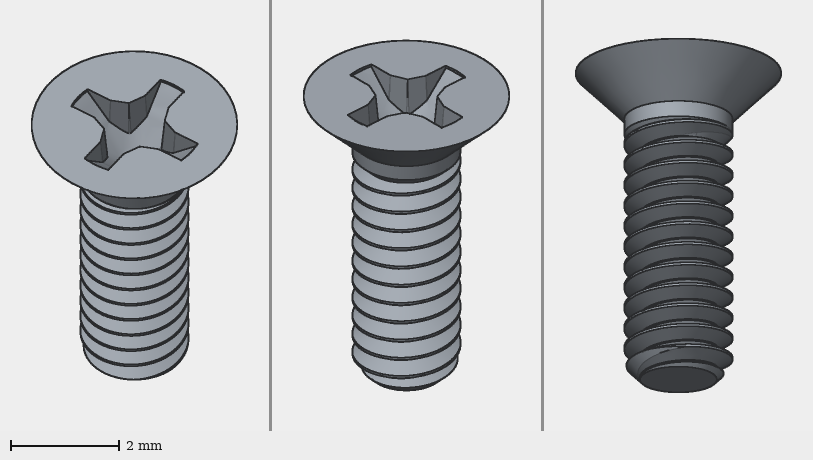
import cadquery as cq
import math

length = 6.0
head_radius = 3.8 / 2
shank_radius = length / 6
minor_radius = 0.72
tip_radius = 0.71
neck_height = 0.3
head_height = head_radius - shank_radius
neck_top = length - head_height
neck_bottom = neck_top - neck_height

pitch = 2 * shank_radius / 5
crest_width = pitch / 8
crest_height_at_x = 0.335
thread_depth = shank_radius - minor_radius
flank_slope = math.tan(math.radians(30))
cutter_overshoot = 0.02

recess_radius = 1.26
recess_lip = 0.05
recess_depth = 1.2
recess_taper = 5.0
arm_half_width = 0.265
arm_root = 0.725
inner_corner = 0.4


def make_threaded_shank():
    """Rod with a chamfered tip and a helical V groove."""
    rod = cq.Workplane("XZ").polyline([
        (0, 0),
        (tip_radius, 0),
        (shank_radius, shank_radius - tip_radius),
        (shank_radius, neck_bottom),
        (0, neck_bottom),
    ]).close().revolve(360, (0, 0), (0, 1))

    outer_radius = shank_radius + cutter_overshoot
    outer_half = (pitch - crest_width) / 2 + cutter_overshoot * flank_slope
    root_half = outer_half - (outer_radius - minor_radius) * flank_slope
    start = crest_height_at_x - 2.5 * pitch
    turns = math.ceil((neck_bottom - start) / pitch) + 1
    profile = [
        (minor_radius, start - root_half),
        (outer_radius, start - outer_half),
        (outer_radius, start + outer_half),
        (minor_radius, start + root_half),
    ]
    rails = []
    for radius, z in profile:
        rails.append(cq.Wire.makeHelix(pitch, turns * pitch, radius, cq.Vector(0, 0, z)))
    faces = []
    for i, rail in enumerate(rails):
        faces.extend(cq.Face.makeRuledSurface(rail, rails[i - 1]).Faces())
    for rise in (0, turns * pitch):
        corners = [cq.Vector(x, 0, z + rise) for x, z in profile]
        faces.append(cq.Face.makeFromWires(cq.Wire.makePolygon(corners, close=True)))
    groove = cq.Solid.makeSolid(cq.Shell.makeShell(faces))
    return rod.rotate((0, 0, 0), (0, 0, 1), 180).cut(groove)


def make_head():
    """Countersunk head, plain neck and the 45 degree runout into the thread."""
    return cq.Workplane("XZ").polyline([
        (0, neck_bottom - thread_depth),
        (minor_radius, neck_bottom - thread_depth),
        (shank_radius, neck_bottom),
        (shank_radius, neck_top),
        (head_radius, length),
        (0, length),
    ]).close().revolve(360, (0, 0), (0, 1))


def make_recess():
    """Tapered cross bounded by a cone that deepens toward the axis."""
    quarter = [
        (recess_radius, arm_half_width),
        (arm_root, arm_half_width),
        (inner_corner, inner_corner),
        (arm_half_width, arm_root),
        (arm_half_width, recess_radius),
    ]
    outline = []
    for x, y in quarter:
        outline.append((x, y))
    for x, y in reversed(quarter):
        outline.append((-x, y))
    for x, y in quarter:
        outline.append((-x, -y))
    for x, y in reversed(quarter):
        outline.append((x, -y))
    cross = (
        cq.Workplane("XY", origin=(0, 0, length))
        .polyline(outline).close()
        .extrude(-recess_depth, taper=recess_taper)
    )
    bound = cq.Workplane("XZ").polyline([
        (0, length - recess_depth),
        (recess_radius, length - recess_lip),
        (recess_radius, length),
        (0, length),
    ]).close().revolve(360, (0, 0), (0, 1))
    return cross.intersect(bound)


result = make_threaded_shank().union(make_head()).cut(make_recess())